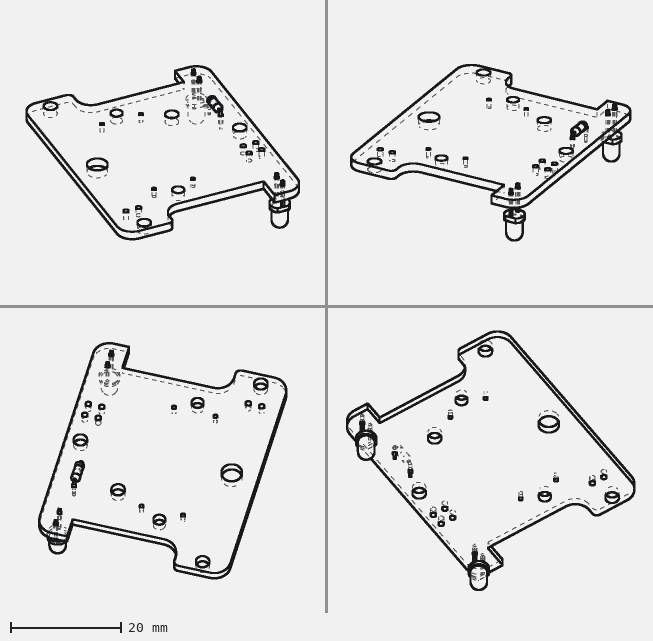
import cadquery as cq

board_width = 45.1
board_depth = 36.2
board_thickness = 1.65
waist_half_width = 17.5
rear_left = -21.43
rear_right = 22.35
rear_tab_front = 30.22
front_tab_rear = 10.0
large_corner_radius = 3.0
small_corner_radius = 1.0

mount_diameter = 2.5
front_mount_x = 20.53
front_hole_y = 4.95
mount_centres = [
    (-front_mount_x, front_hole_y),
    (front_mount_x, front_hole_y),
    (0, 33.43),
    (-8.98, 23.95),
]
caster_diameter = 3.8
side_hole_diameter = 2.2
side_hole_x = 13.5
side_hole_y = 14.98
tie_hole_diameter = 0.7
tie_hole_x = 11.4
tie_hole_ys = (11.1, 18.85)
header_hole_diameter = 1.0
header_pitch = 2.53
quad_header_x = 5.6
quad_header_y = 31.58
pair_header_x = 15.75
pair_header_y = 3.5

led_xs = (-17.9, 18.6)
led_y = 32.95
led_body_diameter = 3.05
led_flange_diameter = 3.8
led_flange_top = -3.1
led_flange_height = 0.95
led_bottom = -8.35
led_lead_top = 2.45
led_lead_side = 0.45
led_lead_pitch = 2.55
led_hole_diameter = 0.75

resistor_x = -7.6
resistor_y = 31.95
resistor_diameter = 1.6
resistor_waist_diameter = 1.5
resistor_length = 3.7
resistor_waist_length = 1.95
resistor_end_radius = 0.35
resistor_lead_diameter = 0.5
resistor_lead_pitch = 5.05
resistor_lead_bottom = -1.25
resistor_bend_radius = 0.68
resistor_hole_diameter = 0.75


def drill(board, centres, diameter):
    cutters = cq.Workplane().pushPoints(centres).circle(diameter / 2).extrude(board_thickness)
    return board.cut(cutters)


def round_corners(board, corners, radius):
    """Round the vertical board edges standing at the given plan points."""
    for x, y in corners:
        edge = cq.selectors.NearestToPointSelector((x, y, board_thickness / 2))
        board = board.edges("|Z").edges(edge).fillet(radius)
    return board


def lead_centres(x, y, pitch):
    return [(x - pitch / 2, y), (x + pitch / 2, y)]


def make_board():
    half_width = board_width / 2
    front_corners = [(-half_width, 0), (half_width, 0)]
    front_tab_corners = [(half_width, front_tab_rear), (-half_width, front_tab_rear)]
    inner_corners = [(waist_half_width, front_tab_rear), (-waist_half_width, front_tab_rear)]
    rear_corners = [(rear_right, board_depth), (rear_left, board_depth)]
    outline = [
        *front_corners,
        front_tab_corners[0],
        inner_corners[0],
        (waist_half_width, rear_tab_front),
        (rear_right, rear_tab_front),
        *rear_corners,
        (rear_left, rear_tab_front),
        (-waist_half_width, rear_tab_front),
        inner_corners[1],
        front_tab_corners[1],
    ]
    board = cq.Workplane().polyline(outline).close().extrude(board_thickness)
    board = round_corners(board, front_corners + inner_corners + rear_corners, large_corner_radius)
    board = round_corners(board, front_tab_corners, small_corner_radius)

    side_centres = [(-side_hole_x, side_hole_y), (side_hole_x, side_hole_y)]
    tie_centres = [(x, y) for x in (-tie_hole_x, tie_hole_x) for y in tie_hole_ys]
    steps = (0, header_pitch)
    header_centres = [(quad_header_x + dx, quad_header_y + dy) for dx in steps for dy in steps]
    header_centres += [(pair_header_x, pair_header_y + dy) for dy in steps]
    board = drill(board, mount_centres, mount_diameter)
    board = drill(board, [(0, front_hole_y)], caster_diameter)
    board = drill(board, side_centres, side_hole_diameter)
    board = drill(board, tie_centres, tie_hole_diameter)
    board = drill(board, header_centres, header_hole_diameter)

    for x in led_xs:
        board = drill(board, lead_centres(x, led_y, led_lead_pitch), led_hole_diameter)
    resistor_leads = lead_centres(resistor_x, resistor_y, resistor_lead_pitch)
    return drill(board, resistor_leads, resistor_hole_diameter)


def make_led(x):
    body_radius = led_body_diameter / 2
    dome_start = led_bottom + body_radius
    body = (
        cq.Workplane(origin=(x, led_y, dome_start))
        .circle(body_radius)
        .extrude(led_flange_top - led_flange_height - dome_start)
    )
    body = body.union(cq.Workplane(origin=(x, led_y, dome_start)).sphere(body_radius))
    flange = (
        cq.Workplane(origin=(x, led_y, led_flange_top))
        .circle(led_flange_diameter / 2)
        .extrude(-led_flange_height)
    )
    flat = (
        cq.Workplane(origin=(x + body_radius, led_y, led_flange_top))
        .rect(led_flange_diameter, led_flange_diameter)
        .extrude(-led_flange_height)
        .translate((led_flange_diameter / 2, 0, 0))
    )
    leads = (
        cq.Workplane(origin=(0, 0, led_flange_top))
        .pushPoints(lead_centres(x, led_y, led_lead_pitch))
        .rect(led_lead_side, led_lead_side)
        .extrude(led_lead_top - led_flange_top)
    )
    return body.union(flange.cut(flat)).union(leads)


def make_resistor():
    axis_z = board_thickness + resistor_diameter / 2
    half_pitch = resistor_lead_pitch / 2

    body = (
        cq.Workplane("YZ", origin=(resistor_x, resistor_y, axis_z))
        .circle(resistor_waist_diameter / 2)
        .extrude(resistor_waist_length / 2, both=True)
    )
    cap_length = (resistor_length - resistor_waist_length) / 2
    for side, rim in ((-1, "<X"), (1, ">X")):
        cap = (
            cq.Workplane("YZ", origin=(resistor_x + side * resistor_waist_length / 2, resistor_y, axis_z))
            .circle(resistor_diameter / 2)
            .extrude(side * cap_length)
            .faces(rim)
            .edges()
            .fillet(resistor_end_radius)
        )
        body = body.union(cap)

    for side in (-1, 1):
        lead_x = side * half_pitch
        bend_x = side * (half_pitch - resistor_bend_radius)
        path = (
            cq.Workplane("XZ", origin=(resistor_x, resistor_y, 0))
            .moveTo(lead_x, resistor_lead_bottom)
            .lineTo(lead_x, axis_z - resistor_bend_radius)
            .tangentArcPoint((bend_x, axis_z), relative=False)
            .lineTo(side * resistor_waist_length / 2, axis_z)
        )
        lead = (
            cq.Workplane(origin=(resistor_x + lead_x, resistor_y, resistor_lead_bottom))
            .circle(resistor_lead_diameter / 2)
            .sweep(path)
        )
        body = body.union(lead)
    return body


board = make_board()
leds = [make_led(x) for x in led_xs]
resistor = make_resistor()

result = cq.Compound.makeCompound([board.val(), *[led.val() for led in leds], resistor.val()])